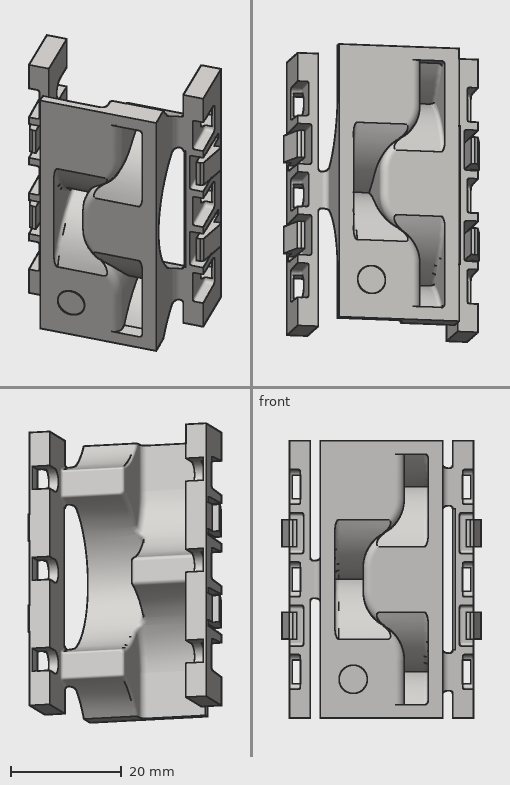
import cadquery as cq
import math

HEIGHT = 50.0
HALF_HEIGHT = HEIGHT / 2
PITCH = HEIGHT / 3

PLATE_HALF_WIDTH = 11.05
PLATE_THICKNESS = 1.5
TROUGH_RADIUS = 14.6
TROUGH_CENTER_Y = PLATE_THICKNESS + TROUGH_RADIUS
CREST_Y = 12.6
LEFT_CREST_HEIGHTS = (0,)
RIGHT_CREST_HEIGHTS = (-PITCH, PITCH)
LEFT_CREST_END_X = -0.25
RIGHT_CREST_END_X = 1.0
TROUGH_FILLET = 1.2
LEFT_CREST_FILLET = 0.8
RIGHT_CREST_FILLET = 0.5
ARM_ROOT_FILLET = 0.5
MARGIN = 0.05
ARM_CORNER_RADIUS = 1.1

RAIL_INNER_X = 12.8
RAIL_OUTER_X = 16.6
RAIL_FRONT_Y = 10.0
RAIL_BACK_Y = 20.0
INNER_CHAMFER = 0.5
INNER_CHAMFER_HALF_LENGTH = 12.7

POCKET_HALF_WIDTH = 8.4
POCKET_HALF_HEIGHT = 22.6
ARCH_HALF_SPAN = 10.75
ARCH_CROWN_Y = 11.0
ARCH_EDGE_FILLET = 0.7
DIVIDER_MID_X = 0.4
DIVIDER_HALF_WIDTH = 3.7
DIVIDER_HALF_LENGTH = 6.15
DIVIDER_FILLET = 1.5

WINDOW_HEIGHTS = (-PITCH, 0, PITCH)
WINDOW_END_Y = 16.5
WINDOW_FRONT_HALF_HEIGHT = 3.15
WINDOW_END_HALF_HEIGHT = 2.9
WINDOW_DEPTH = 2.0
WINDOW_CORNER_RADIUS = 0.85
WINDOW_FLOOR_FILLET = 0.45
CATCH_RADIUS = 2.1
CATCH_OUTER_WALL = 0.55

CLIP_HEIGHTS = (-PITCH / 2, PITCH / 2)
CLIP_POCKET_DEPTH = 2.55
CLIP_POCKET_HALF_HEIGHT = 3.7
CLIP_POCKET_END_HALF_HEIGHT = 3.5
CLIP_POCKET_END_Y = 18.65
CLIP_FLOOR_FILLET = 0.45
TONGUE_THICKNESS = 1.3
TONGUE_HALF_HEIGHT = 2.45
TONGUE_FRONT_Y = 10.05
TONGUE_NOSE = 0.6
BARB_TIP_X = 17.95
BARB_START_Y = 15.6
BARB_END_Y = 16.05

PAD_RADIUS = 2.55
PAD_HEIGHT = 0.15
PAD_X = -5.1
PAD_Z = -18.0


def box(x0, x1, y0, y1, z0, z1):
    """Box between two opposite corners."""
    return cq.Workplane("XY").box(x1 - x0, y1 - y0, z1 - z0, centered=False).translate((x0, y0, z0))


def cylinder_x(y, z, radius):
    """Long cylinder along X, centred on x = 0."""
    return cq.Workplane("YZ").center(y, z).circle(radius).extrude(HALF_HEIGHT, both=True)


def half_section(side):
    """Solid outline of plate, crest and arm on one side (-1 left, +1 right)."""
    edge_x = side * PLATE_HALF_WIDTH
    rail_x = side * RAIL_INNER_X
    bend = ARM_CORNER_RADIUS
    bend_mid = bend * (1 - math.sqrt(0.5))
    return (
        cq.Workplane("XY")
        .moveTo(0, 0)
        .lineTo(edge_x, 0)
        .lineTo(edge_x, RAIL_FRONT_Y - bend)
        .threePointArc(
            (edge_x + side * bend_mid, RAIL_FRONT_Y - bend_mid),
            (edge_x + side * bend, RAIL_FRONT_Y),
        )
        .lineTo(rail_x, RAIL_FRONT_Y)
        .lineTo(rail_x, CREST_Y)
        .lineTo(0, CREST_Y)
        .close()
        .extrude(HALF_HEIGHT, both=True)
    )


def trough(z, wall_x, side, z_reach):
    """Cutter for one trough, running out sideways from a filleted end wall.

    The trough is round towards the middle of the plate. Beyond its axis its floor
    runs level for z_reach, or is round as well where z_reach is zero.
    """
    profile = cq.Workplane("YZ", origin=(wall_x, 0, 0)).center(TROUGH_CENTER_Y, z)
    cutter = profile.circle(TROUGH_RADIUS).extrude(side * HALF_HEIGHT)
    if z_reach:
        level_part = profile.center(0, z_reach / 2).rect(2 * TROUGH_RADIUS, z_reach)
        cutter = cutter.union(level_part.extrude(side * HALF_HEIGHT))
    wall = "<X" if side > 0 else ">X"
    return cutter.faces(wall).edges().fillet(TROUGH_FILLET)


def round_crests(plate, wall_x, crest_heights, radius):
    """Round the top edges of the crests that end at wall_x, and their end edges."""
    edges = cq.selectors.BoxSelector(
        (wall_x - MARGIN, CREST_Y / 2, -HALF_HEIGHT), (wall_x + MARGIN, CREST_Y + MARGIN, HALF_HEIGHT)
    )
    along_x = cq.selectors.ParallelDirSelector(cq.Vector(1, 0, 0))
    for z in crest_heights:
        crest_top = cq.selectors.BoxSelector(
            (-RAIL_INNER_X, CREST_Y - MARGIN, z - PITCH / 4),
            (RAIL_INNER_X, CREST_Y + MARGIN, z + PITCH / 4),
        )
        edges = edges + (crest_top & along_x)
    return plate.edges(edges).fillet(radius)


def wave_plate():
    """Plate with crests, cut by troughs that alternate between its two sides."""
    plate = half_section(-1).union(half_section(1))
    for z in RIGHT_CREST_HEIGHTS:
        plate = plate.cut(trough(z, RIGHT_CREST_END_X, -1, math.copysign(PITCH, z)))
    for z in (-2 * PITCH, 0, 2 * PITCH):
        plate = plate.cut(trough(z, LEFT_CREST_END_X, 1, 0))
    plate = round_crests(plate, LEFT_CREST_END_X, LEFT_CREST_HEIGHTS, LEFT_CREST_FILLET)
    return round_crests(plate, RIGHT_CREST_END_X, RIGHT_CREST_HEIGHTS, RIGHT_CREST_FILLET)


def arch(x0, x1, crest_z):
    """Pointed arch under one crest, its flanks round about the trough heights."""
    foot = PITCH - ARCH_HALF_SPAN
    center_y = (PITCH**2 + ARCH_CROWN_Y**2 - foot**2) / (2 * ARCH_CROWN_Y)
    radius = math.hypot(foot, center_y)
    arch_body = box(x0, x1, 0, ARCH_CROWN_Y, crest_z - ARCH_HALF_SPAN, crest_z + ARCH_HALF_SPAN)
    for z in (crest_z - PITCH, crest_z + PITCH):
        arch_body = arch_body.cut(cylinder_x(center_y, z, radius))
    return arch_body


def divider(side):
    """Block on one side of the S-shaped wall, its front edge rounded."""
    w = DIVIDER_HALF_WIDTH
    h = DIVIDER_HALF_LENGTH
    radius = (w**2 + h**2) / (2 * w)
    half_turn = math.asin(h / radius) / 2
    bow_x = radius * (1 - math.cos(half_turn))
    bow_z = radius * math.sin(half_turn)
    low_x = DIVIDER_MID_X - w
    high_x = DIVIDER_MID_X + w
    middle_z = PITCH / 2
    near_z = middle_z - h
    far_z = middle_z + h
    block = (
        cq.Workplane("XZ")
        .moveTo(side * HEIGHT, -HEIGHT)
        .lineTo(high_x, -HEIGHT)
        .lineTo(high_x, -far_z)
        .threePointArc((high_x - bow_x, bow_z - far_z), (DIVIDER_MID_X, -middle_z))
        .threePointArc((low_x + bow_x, -near_z - bow_z), (low_x, -near_z))
        .lineTo(low_x, near_z)
        .threePointArc((low_x + bow_x, near_z + bow_z), (DIVIDER_MID_X, middle_z))
        .threePointArc((high_x - bow_x, far_z - bow_z), (high_x, far_z))
        .lineTo(high_x, HEIGHT)
        .lineTo(side * HEIGHT, HEIGHT)
        .close()
        .extrude(-HALF_HEIGHT)
    )
    front_wall_edges = cq.selectors.BoxSelector(
        (-HALF_HEIGHT, -MARGIN, -HEIGHT + MARGIN), (HALF_HEIGHT, MARGIN, HEIGHT - MARGIN)
    )
    return block.edges(front_wall_edges).fillet(DIVIDER_FILLET)


def front_pocket():
    w = POCKET_HALF_WIDTH
    left = arch(-w, w, 0)
    left = left.faces("<X").edges("not <Y").fillet(ARCH_EDGE_FILLET)
    pocket = left.cut(divider(1))
    left_block = divider(-1)
    for crest_z in RIGHT_CREST_HEIGHTS:
        right = arch(-w, w, crest_z)
        right = right.intersect(box(-w, w, 0, CREST_Y, -POCKET_HALF_HEIGHT, POCKET_HALF_HEIGHT))
        right = right.faces(">X").edges("not <Y").fillet(ARCH_EDGE_FILLET)
        pocket = pocket.union(right.cut(left_block))
    return pocket


def tapered_recess(depth, front_half, end_half, end_y):
    """Recess in the outer rail face, open to the front and narrowing backwards."""
    return (
        cq.Workplane("YZ", origin=(RAIL_OUTER_X - depth, 0, 0))
        .polyline([
            (RAIL_FRONT_Y, -front_half), (end_y, -end_half),
            (end_y, end_half), (RAIL_FRONT_Y, front_half),
        ])
        .close()
        .extrude(depth)
    )


def window():
    """Outer recess and back slot, overlapping to leave an opening."""
    recess = tapered_recess(
        WINDOW_DEPTH, WINDOW_FRONT_HALF_HEIGHT, WINDOW_END_HALF_HEIGHT, WINDOW_END_Y
    )
    recess = recess.faces(">Y").edges("|X").fillet(WINDOW_CORNER_RADIUS)
    recess = recess.faces("<X").edges("not <Y").edges("not >Y").fillet(WINDOW_FLOOR_FILLET)
    slot_outer_x = RAIL_OUTER_X - CATCH_OUTER_WALL
    slot = box(RAIL_INNER_X, slot_outer_x, WINDOW_END_Y, RAIL_BACK_Y, -CATCH_RADIUS, CATCH_RADIUS)
    slot_end = (
        cq.Workplane("YZ", origin=(RAIL_INNER_X, 0, 0))
        .center(WINDOW_END_Y, 0)
        .circle(CATCH_RADIUS)
        .extrude(slot_outer_x - RAIL_INNER_X)
    )
    return recess.union(slot).union(slot_end)


def clip_pocket():
    pocket = tapered_recess(
        CLIP_POCKET_DEPTH, CLIP_POCKET_HALF_HEIGHT, CLIP_POCKET_END_HALF_HEIGHT, CLIP_POCKET_END_Y
    )
    inner_edges = pocket.faces("<X or >Y").edges("not <Y").edges("not >X")
    return inner_edges.fillet(CLIP_FLOOR_FILLET)


def clip_tongue():
    """Tongue rooted at the back of its pocket, with a ramped barb outside."""
    inner_x = RAIL_OUTER_X - TONGUE_THICKNESS
    tongue = (
        cq.Workplane("XY")
        .polyline([
            (inner_x, TONGUE_FRONT_Y), (RAIL_OUTER_X - TONGUE_NOSE, TONGUE_FRONT_Y),
            (RAIL_OUTER_X, TONGUE_FRONT_Y + TONGUE_NOSE / 2),
            (BARB_TIP_X, BARB_START_Y), (BARB_TIP_X, BARB_END_Y),
            (RAIL_OUTER_X, BARB_END_Y), (RAIL_OUTER_X, CLIP_POCKET_END_Y),
            (inner_x, CLIP_POCKET_END_Y),
        ])
        .close()
        .extrude(TONGUE_HALF_HEIGHT, both=True)
    )
    return tongue


def rail():
    body = box(RAIL_INNER_X, RAIL_OUTER_X, RAIL_FRONT_Y, RAIL_BACK_Y, -HALF_HEIGHT, HALF_HEIGHT)
    for z in WINDOW_HEIGHTS:
        body = body.cut(window().translate((0, 0, z)))
    for z in CLIP_HEIGHTS:
        body = body.cut(clip_pocket().translate((0, 0, z)))
        body = body.union(clip_tongue().translate((0, 0, z)))
    return body


def inner_chamfer():
    """Wedge taken off the right rail between its arms."""
    return (
        cq.Workplane("XY")
        .moveTo(RAIL_INNER_X, RAIL_FRONT_Y)
        .lineTo(RAIL_INNER_X + INNER_CHAMFER, RAIL_FRONT_Y)
        .lineTo(RAIL_INNER_X, RAIL_FRONT_Y + INNER_CHAMFER)
        .close()
        .extrude(INNER_CHAMFER_HALF_LENGTH, both=True)
    )


def fillet_arm_roots(body):
    """Fillet the arms into the inner faces of the rails."""
    for x in (-RAIL_INNER_X, RAIL_INNER_X):
        roots = cq.selectors.BoxSelector(
            (x - MARGIN, RAIL_FRONT_Y + MARGIN, -HALF_HEIGHT), (x + MARGIN, CREST_Y + MARGIN, HALF_HEIGHT)
        )
        body = body.edges(roots).fillet(ARM_ROOT_FILLET)
    return body


right_rail = rail()
left_rail = right_rail.mirror("YZ")
pad = cq.Workplane("XZ").center(PAD_X, PAD_Z).circle(PAD_RADIUS).extrude(PAD_HEIGHT)

frame = wave_plate().cut(front_pocket()).union(left_rail).union(right_rail)
result = fillet_arm_roots(frame).cut(inner_chamfer()).union(pad)